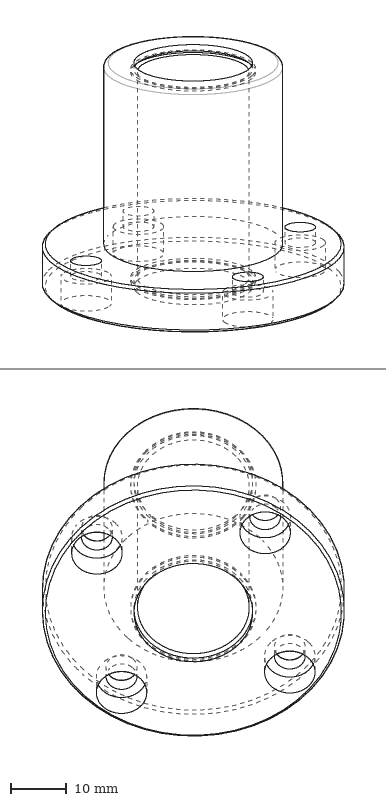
import cadquery as cq

flange_diameter = 54.0
flange_thickness = 8.0
flange_chamfer = 0.55

total_height = 42.0
sleeve_diameter = 32.0
sleeve_edge_radius = 0.8

bore_diameter = 20.0
recess_diameter = 21.2
recess_lip_depth = 1.2
recess_groove_diameter = 22.4
recess_depth = 1.7

hole_count = 4
hole_diameter = 5.5
hole_circle_diameter = 43.0
counterbore_diameter = 9.0
counterbore_depth = 5.1


def cylinder(diameter, bottom, top):
    """Upright cylinder on the Z axis between two heights."""
    return cq.Workplane("XY").workplane(offset=bottom).circle(diameter / 2).extrude(top - bottom)


def make_body():
    """Chamfered flange with the rounded sleeve standing on it."""
    flange = cylinder(flange_diameter, 0, flange_thickness).edges().chamfer(flange_chamfer)
    sleeve = cylinder(sleeve_diameter, 0, total_height).faces(">Z").edges().fillet(sleeve_edge_radius)
    return flange.union(sleeve)


def make_lower_recess():
    """Round recess from Z = 0 inward, with a wider groove behind its lip."""
    mouth = cylinder(recess_diameter, 0, recess_depth)
    groove = cylinder(recess_groove_diameter, recess_lip_depth, recess_depth)
    return mouth.union(groove)


def cut_bore(body):
    """Through bore and the recesses at its two ends."""
    body = body.cut(cylinder(bore_diameter, 0, total_height))
    body = body.cut(make_lower_recess())
    upper_recess = make_lower_recess().mirror("XY").translate((0, 0, total_height))
    return body.cut(upper_recess)


def cut_screw_holes(body):
    """Ring of counterbored holes on the X and Y axes."""
    hole = cylinder(hole_diameter, 0, flange_thickness)
    hole = hole.union(cylinder(counterbore_diameter, 0, counterbore_depth))
    hole = hole.translate((hole_circle_diameter / 2, 0, 0))
    for index in range(hole_count):
        body = body.cut(hole.rotate((0, 0, 0), (0, 0, 1), index * 360 / hole_count))
    return body


result = cut_screw_holes(cut_bore(make_body()))